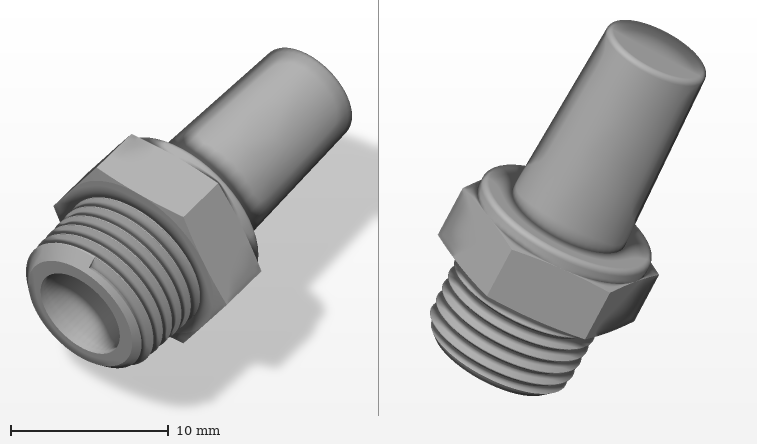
import cadquery as cq
import math

total_length = 24.0
thread_length = 6.07
hex_thickness = 3.95
collar_thickness = 0.95
collar_start = thread_length + hex_thickness
tube_start = collar_start + collar_thickness

across_flats = 12.0
hex_diameter = across_flats / math.cos(math.pi / 6)
hex_corner_drop = 0.17
collar_fillet = 0.35

tube_base_radius = 4.0
tube_tip_radius = 3.5
tube_fillet = 0.35

bore_radius = 3.17
bore_depth = tube_start

tip_radius = 4.15
chamfer_length = 0.8
crest_radius_at_tip = 4.95
taper_slope = 1 / 32
pitch = 0.94
thread_depth = 0.65
groove_root_width = 0.17
groove_crest_width = 0.9
groove_start = 0.43
groove_start_angle = -84.0
blank_seam_angle = 170.0
groove_overrun = 0.72
cutter_overlap = 0.25


def crest_radius(position):
    return crest_radius_at_tip + taper_slope * position


def thread_groove():
    """Tapered helical cutter around local Z, with a flat-bottomed V section."""
    root = crest_radius(groove_start) - thread_depth
    half_root = groove_root_width / 2
    half_mouth = groove_crest_width / 2
    crest = root + thread_depth
    helix_height = thread_length + groove_overrun - groove_start
    taper_angle = math.degrees(math.atan(taper_slope))
    helix = cq.Wire.makeHelix(pitch, helix_height, root, angle=taper_angle)
    section = (
        cq.Workplane("XZ")
        .moveTo(root, -half_root)
        .lineTo(crest, -half_mouth)
        .lineTo(crest + cutter_overlap, -half_mouth)
        .lineTo(crest + cutter_overlap, half_mouth)
        .lineTo(crest, half_mouth)
        .lineTo(root, half_root)
        .close()
    )
    groove = section.sweep(cq.Workplane(obj=helix), isFrenet=True)
    return groove.translate((0, 0, groove_start)).rotate((0, 0, 0), (0, 0, 1), groove_start_angle)


def threaded_end():
    blank = (
        cq.Workplane("XZ")
        .lineTo(tip_radius, 0)
        .lineTo(crest_radius(chamfer_length), chamfer_length)
        .lineTo(crest_radius(thread_length), thread_length)
        .lineTo(0, thread_length)
        .close()
        .revolve(360, (0, 0), (0, 1))
    )
    return blank.rotate((0, 0, 0), (0, 0, 1), blank_seam_angle).cut(thread_groove())


def hexagon():
    """Hexagonal prism whose corners are turned down by a cone on both faces."""
    prism = cq.Workplane().workplane(offset=thread_length).polygon(6, hex_diameter).extrude(hex_thickness)
    turned_blank = (
        cq.Workplane("XZ")
        .moveTo(0, thread_length)
        .lineTo(across_flats / 2, thread_length)
        .lineTo(hex_diameter / 2, thread_length + hex_corner_drop)
        .lineTo(hex_diameter / 2, collar_start - hex_corner_drop)
        .lineTo(across_flats / 2, collar_start)
        .lineTo(0, collar_start)
        .close()
        .revolve(360, (0, 0), (0, 1))
    )
    return prism.intersect(turned_blank)


def collar():
    disc = cq.Workplane().workplane(offset=collar_start).circle(across_flats / 2).extrude(collar_thickness)
    return disc.faces(">Z").edges().fillet(collar_fillet)


def tube():
    cone = (
        cq.Workplane("XZ")
        .moveTo(0, tube_start)
        .lineTo(tube_base_radius, tube_start)
        .lineTo(tube_tip_radius, total_length)
        .lineTo(0, total_length)
        .close()
        .revolve(360, (0, 0), (0, 1))
    )
    return cone.faces(">Z").edges().fillet(tube_fillet)


bore = cq.Workplane().circle(bore_radius).extrude(bore_depth)
fitting = threaded_end().union(hexagon()).union(collar()).union(tube()).cut(bore)

result = fitting.rotate((0, 0, 0), (1, 0, 0), -90).translate((0, -total_length / 2, 0))